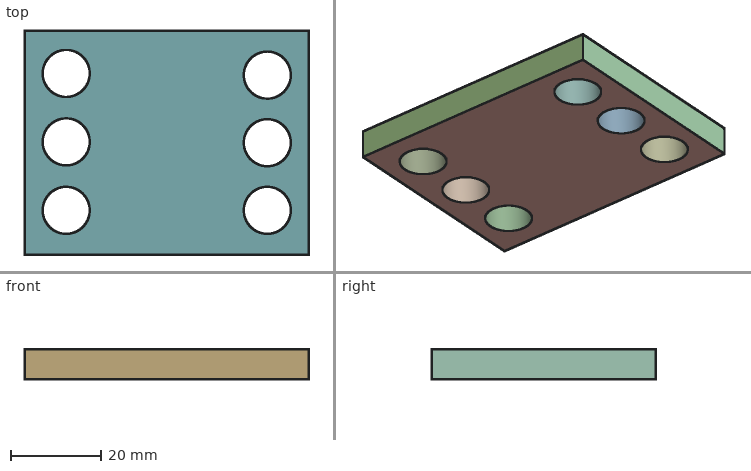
import cadquery as cq

length = 63.0
width = 49.75
thickness = 6.75

hole_diameter = 10.4
holes_per_column = 3
column_spacing = 44.6
front_edge_to_first_hole = 9.9
left_pitch = 15.2
right_pitch = 15.0

first_hole_y = front_edge_to_first_hole - width / 2


def column_points(x, pitch):
    """Hole centres of one column, evenly spaced from the front row."""
    return [(x, first_hole_y + row * pitch) for row in range(holes_per_column)]


hole_centres = column_points(-column_spacing / 2, left_pitch)
hole_centres += column_points(column_spacing / 2, right_pitch)

plate = cq.Workplane("XY").box(length, width, thickness)
result = plate.faces(">Z").workplane().pushPoints(hole_centres).hole(hole_diameter)